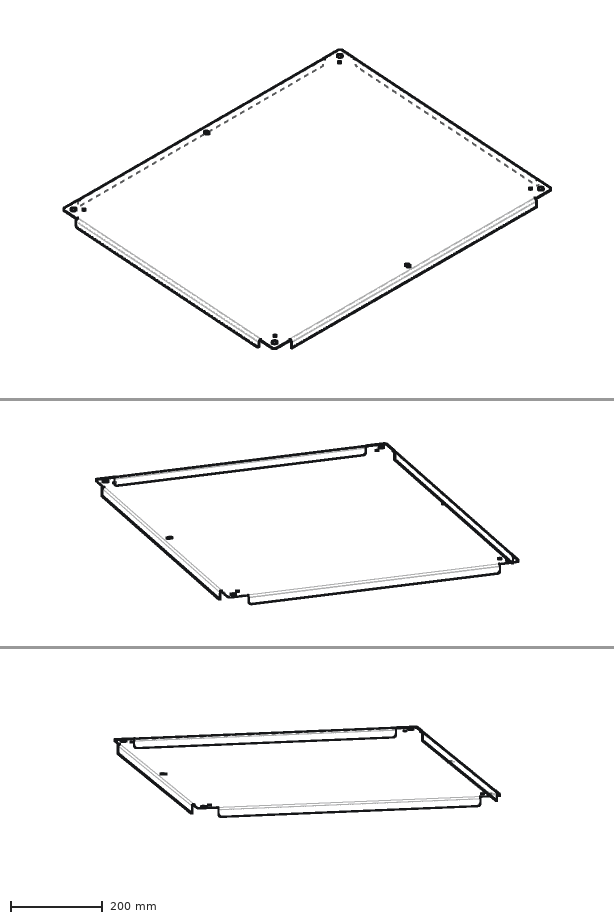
import cadquery as cq

width = 684.0
length = 837.0
height = 23.0

sheet = 2.5
bend_radius = 7.0
inner_bend_radius = bend_radius - sheet

corner_setback = 3.0
corner_radius = 7.0
side_flange_length = 731.0
end_flange_length = 586.0
end_flange_corner = 7.0

mount_diameter = 12.5
mount_x = 321.0
mount_y = 397.0
pilot_diameter = 7.1
pilot_x = 305.0
pilot_y = 381.5
slot_length = 13.0
slot_width = 9.0


def bent_strip(span, run):
    """Make a channel strip: span across X, run along Y, both edges bent down."""
    outer = (
        cq.Workplane("XY")
        .box(span, run, height, centered=(True, True, False))
        .edges("|Y and >Z")
        .fillet(bend_radius)
    )
    inner = (
        cq.Workplane("XY")
        .box(span - 2 * sheet, run, height - sheet, centered=(True, True, False))
        .edges("|Y and >Z")
        .fillet(inner_bend_radius)
    )
    return outer.cut(inner)


def corner_plate():
    """Make the rounded sheet that forms the four exposed corners.

    The flange stretches are notched away so that the bends stay open.
    """
    plate_width = width - 2 * corner_setback
    plate_length = length - 2 * corner_setback
    plate = (
        cq.Workplane("XY", origin=(0, 0, height - sheet))
        .box(plate_width, plate_length, sheet, centered=(True, True, False))
        .edges("|Z")
        .fillet(corner_radius)
    )
    side_trim = cq.Workplane("XY").box(width, side_flange_length, 2 * height)
    end_trim = cq.Workplane("XY").box(end_flange_length, length, 2 * height)
    center = cq.Workplane("XY").box(
        width - 2 * bend_radius, length - 2 * bend_radius, 2 * height
    )
    return plate.cut(side_trim.union(end_trim).cut(center))


def mirrored(x, y):
    """Return the four corner places at the given distances from the centre."""
    return [(sx * x, sy * y) for sx in (-1, 1) for sy in (-1, 1)]


side_strip = bent_strip(width, side_flange_length)
end_strip = (
    bent_strip(length, end_flange_length)
    .edges("|X and <Z")
    .edges("<Y or >Y")
    .fillet(end_flange_corner)
    .rotate((0, 0, 0), (0, 0, 1), 90)
)
panel = corner_plate().union(side_strip).union(end_strip)

holes = cq.Workplane("XY").pushPoints(mirrored(mount_x, mount_y)).circle(mount_diameter / 2).extrude(height)
pilots = cq.Workplane("XY").pushPoints(mirrored(pilot_x, pilot_y)).circle(pilot_diameter / 2).extrude(height)
slots = (
    cq.Workplane("XY")
    .pushPoints([(-mount_x, 0), (mount_x, 0)])
    .slot2D(slot_length, slot_width)
    .extrude(height)
)

result = panel.cut(holes).cut(pilots).cut(slots)